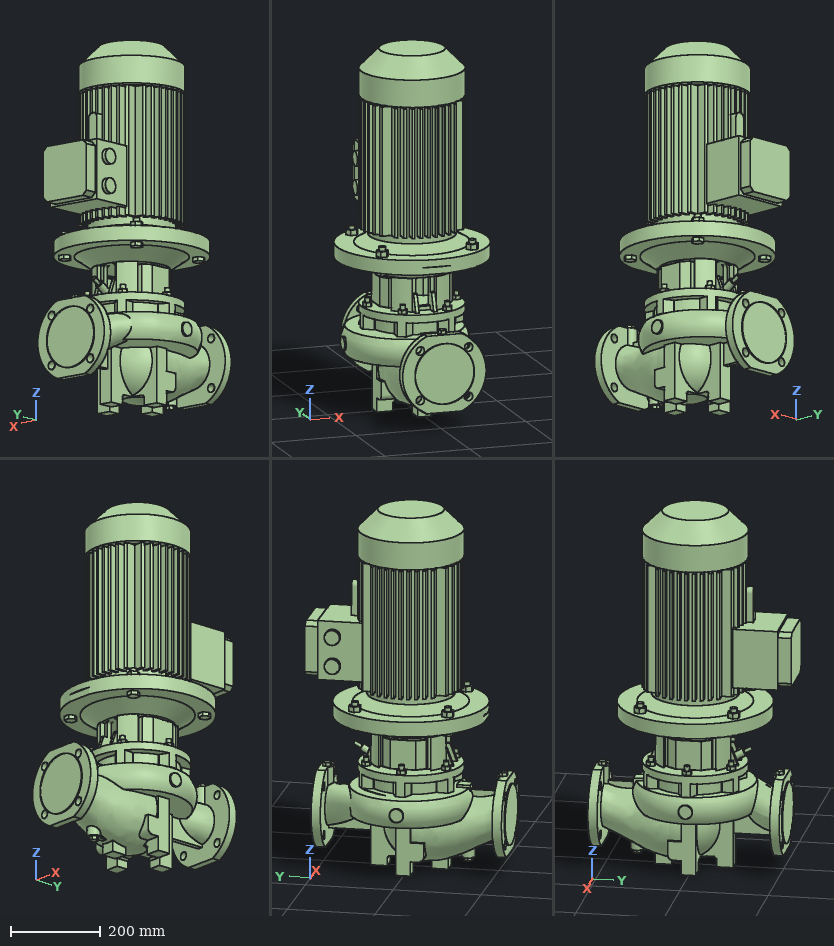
import cadquery as cq
import math

VOLUTE_BOTTOM = 129.0
VOLUTE_TOP = 192.0
LANTERN_FLANGE_BOTTOM = 224.0
LANTERN_FLANGE_TOP = 243.0
DISC_BOTTOM = 349.0
DISC_TOP = 382.5
FIN_BOTTOM = 419.0
FIN_TOP = 716.0
COWL_BOTTOM = 720.0
COWL_SHOULDER = 783.0
TOTAL_HEIGHT = 828.0

FOOT_RADIUS = 130.0
FOOT_TOP = 401.5
BARREL_RADIUS = 98.5
COWL_RADIUS = 119.0
COWL_TOP_RADIUS = 74.5
FIN_PITCH = 17.0
FIN_WIDTH = 6.0
FIN_COUNT = 9

BOX_WIDTH = 138.0
BOX_BOTTOM = 439.0
BOX_TOP = 576.0
BOX_BACK = 199.0
BOX_LID_BACK = 228.95
LID_INSET = 5.0
LID_CHAMFER = 11.0
CABLE_PLUG_RADIUS = 17.0
CABLE_PLUG_LENGTH = 10.0
CABLE_PLUG_Y = 164.0
CABLE_PLUG_HEIGHTS = (474.0, 541.0)
CONDUIT_RADIUS = 12.5
CONDUIT_BACK = 133.0
CONDUIT_TOP = 657.0

BOLT_CIRCLE_RADIUS = 150.0
BOLT_RADIUS = 7.5
BOLT_BOTTOM = 339.5
BOLT_TOP = 404.0
NUT_TOP = 395.0
BOLT_HEX_DIAMETER = 28.0

DISC_RADIUS = 175.1
DISC_FLAT_TOP = 365.0
DISC_FLAT_HALF_WIDTH = 31.5
CONE_TOP_RADIUS = 128.0
CONE_BOTTOM_RADIUS = 86.0
CONE_BOTTOM = 320.0
NECK_RADIUS = 90.0
NECK_STEP_RADIUS = 78.0
NECK_BORE_RADIUS = 66.0
FRONT_WINDOW = 34.0
FRONT_WINDOW_STEP = 56.0
SIDE_WINDOW = 99.0
SIDE_WINDOW_STEP = 117.5
WINDOW_SILL = 252.0
WINDOW_CORNER = 7.0
GUSSET_TOP = 283.0
GUSSET_REACH = 101.0
GUSSET_WIDTH = 8.0
GUARD_FACE_X = 86.0
GUARD_FACE_HALF = 29.0
GUARD_BEND_X = 72.0
GUARD_END_X = 58.0
GUARD_END_HALF = 50.0
GUARD_THICKNESS = 4.0
GUARD_BOTTOM = 247.0
GUARD_TOP = 315.0
LANTERN_FLANGE_RADIUS = 119.0
HUB_RADIUS = 96.0
PAD_COUNT = 6
PAD_TIP_HALF = 10.0
PAD_ROOT_HALF = 21.0
STUD_CIRCLE_RADIUS = 105.0
STUD_RADIUS = 6.0
STUD_TOP = 262.5
STUD_NUT_TOP = 252.0
STUD_HEX_DIAMETER = 21.5

VALVE_TILT = 30.0
VALVE_START_Y = 78.0
VALVE_START_Z = 249.0
VALVE_BODY_RADIUS = 9.0
VALVE_BODY_LENGTH = 40.0
VALVE_STEM_RADIUS = 5.0
VALVE_STEM_LENGTH = 20.0

PIPE_AXIS_Z = 132.0
VOLUTE_RADIUS = 144.0
VOLUTE_OFFSET_X = -17.0
VOLUTE_BULGE = 10.0
SIDE_BOSS_RADIUS = 16.0
SIDE_BOSS_PROUD = 2.5
FLANGE_RADIUS = 98.5
FLANGE_FLAT = 89.5
FLANGE_THICKNESS = 21.5
RAISED_FACE_RADIUS = 69.5
RAISED_FACE_HEIGHT = 2.5
FLANGE_HOLE_RADIUS = 9.5
FLANGE_HOLE_CIRCLE = 80.0
SUCTION_FACE_Y = -228.95
DISCHARGE_FACE_Y = 210.0
DISCHARGE_RADIUS = 48.0
DISCHARGE_BEND_RADIUS = 33.0
DISCHARGE_START_RADIUS = 31.0
DISCHARGE_WEB_BOTTOM = 78.0
PORT_BOSS_RADIUS = 15.3
PLUG_HEX_DIAMETER = 20.0
PLUG_HEIGHT = 8.0
WEB_THICKNESS = 12.5
BOWL_RADIUS = 85.0
BOWL_Y = -25.0
BOWL_Z = 99.0
SUCTION_SECTIONS = ((-207.0, PIPE_AXIS_Z, 53.0), (-149.0, 111.0, 60.0), (-97.0, 103.0, 75.0), (-41.0, 99.0, 83.0))
DRAIN_Y = -131.0
DRAIN_BOTTOM = 28.0
FOOT_REACH = 89.0
FOOT_INNER = 50.5
FOOT_WIDTH = 33.0
FOOT_ARCH_HEIGHT = 24.0
FOOT_ARCH_CORNER = 5.0
FOOT_BLOCK_Y = -47.0
FOOT_BLOCK_BOTTOM = 33.0
FOOT_BLOCK_TOP = 78.0
FOOT_BLOCK_ROUND = 13.0
TOP_WEB_HEIGHT = 186.0
CAST_PAD_HALF = 16.0
CAST_PAD_Y = (-138.0, -108.0)
CAST_PAD_TOP = 198.0


def box(x, y, z):
    """Box from (min, max) pairs along the three axes."""
    size = (x[1] - x[0], y[1] - y[0], z[1] - z[0])
    return cq.Workplane("XY").box(*size, centered=False).translate((x[0], y[0], z[0]))


def cylinder(radius, bottom, top, x=0, y=0):
    """Upright cylinder between two heights."""
    return cq.Workplane("XY", origin=(x, y, bottom)).circle(radius).extrude(top - bottom)


def hexagon(diameter, bottom, top, x=0, y=0):
    """Upright hexagonal prism, sized across its corners."""
    return cq.Workplane("XY", origin=(x, y, bottom)).polygon(6, diameter).extrude(top - bottom)


def y_cylinder(radius, start, end, z=PIPE_AXIS_Z):
    """Cylinder along Y from y = start to y = end."""
    return cq.Workplane("XZ", origin=(0, start, z)).circle(radius).extrude(start - end)


def x_cylinder(radius, start, end, y, z):
    """Cylinder along X from x = start to x = end."""
    return cq.Workplane("YZ", origin=(start, y, z)).circle(radius).extrude(end - start)


def turned(points):
    """Solid of revolution about Z from (radius, height) points."""
    return cq.Workplane("XZ").polyline(points).close().revolve(360, (0, 0, 0), (0, 1, 0))


def make_fins():
    """Two crossing sets of parallel cooling fins, trimmed to a cylinder."""
    fin_set = (
        cq.Workplane("XY", origin=(0, 0, FIN_BOTTOM))
        .rarray(FIN_PITCH, 8, FIN_COUNT, 1)
        .rect(FIN_WIDTH, 2 * COWL_RADIUS)
        .extrude(FIN_TOP - FIN_BOTTOM)
    )
    fins = fin_set.union(fin_set.rotate((0, 0, 0), (0, 0, 1), 90))
    return fins.intersect(cylinder(COWL_RADIUS, FIN_BOTTOM, FIN_TOP))


def make_terminal_box():
    """Terminal box with its lid, two blind cable plugs and the conduit above it."""
    half = BOX_WIDTH / 2
    height = BOX_TOP - BOX_BOTTOM
    middle = (BOX_TOP + BOX_BOTTOM) / 2
    terminal_box = box((-half, half), (0, BOX_BACK), (BOX_BOTTOM, BOX_TOP))
    lid = (
        cq.Workplane("XZ", origin=(0, BOX_BACK, middle))
        .rect(BOX_WIDTH - 2 * LID_INSET, height - 2 * LID_INSET)
        .extrude(BOX_BACK - BOX_LID_BACK)
        .edges("|Y").chamfer(LID_CHAMFER)
    )
    terminal_box = terminal_box.union(lid)
    for z in CABLE_PLUG_HEIGHTS:
        plug = x_cylinder(CABLE_PLUG_RADIUS, -half - CABLE_PLUG_LENGTH, 0, CABLE_PLUG_Y, z)
        terminal_box = terminal_box.union(plug)
    arch_centre = CONDUIT_TOP - CONDUIT_RADIUS
    conduit = box((-CONDUIT_RADIUS, CONDUIT_RADIUS), (0, CONDUIT_BACK), (BOX_TOP, arch_centre))
    conduit = conduit.union(y_cylinder(CONDUIT_RADIUS, 0, CONDUIT_BACK, arch_centre))
    return terminal_box.union(conduit)


def make_motor():
    """Motor with conical foot, finned barrel, fan cowl and terminal box."""
    body = turned([
        (0, DISC_TOP),
        (FOOT_RADIUS, DISC_TOP),
        (BARREL_RADIUS, FOOT_TOP),
        (BARREL_RADIUS, COWL_BOTTOM),
        (COWL_RADIUS, COWL_BOTTOM),
        (COWL_RADIUS, COWL_SHOULDER),
        (COWL_TOP_RADIUS, TOTAL_HEIGHT),
        (0, TOTAL_HEIGHT),
    ])
    return body.union(make_fins()).union(make_terminal_box())


def make_motor_bolt(angle):
    """Through bolt with its head below the disc and its nut above."""
    x = BOLT_CIRCLE_RADIUS * math.cos(math.radians(angle))
    y = BOLT_CIRCLE_RADIUS * math.sin(math.radians(angle))
    bolt = cylinder(BOLT_RADIUS, BOLT_BOTTOM, BOLT_TOP, x, y)
    bolt = bolt.union(hexagon(BOLT_HEX_DIAMETER, BOLT_BOTTOM, DISC_BOTTOM, x, y))
    return bolt.union(hexagon(BOLT_HEX_DIAMETER, DISC_TOP, NUT_TOP, x, y))


def make_vent_valve():
    """Stepped valve that points up and outward from the lantern."""
    valve = cq.Workplane("XY").circle(VALVE_BODY_RADIUS).extrude(VALVE_BODY_LENGTH)
    valve = valve.faces(">Z").workplane().circle(VALVE_STEM_RADIUS).extrude(VALVE_STEM_LENGTH)
    valve = valve.rotate((0, 0, 0), (1, 0, 0), VALVE_TILT - 90)
    return valve.translate((0, VALVE_START_Y, VALVE_START_Z))


def make_neck():
    """Stepped ring opened by windows on all four sides, which leaves four legs."""
    z = (LANTERN_FLANGE_TOP, CONE_BOTTOM)
    through = (-NECK_RADIUS, NECK_RADIUS)
    outer = cylinder(NECK_RADIUS, *z).cut(cylinder(NECK_STEP_RADIUS, *z))
    outer = outer.cut(box((-FRONT_WINDOW_STEP / 2, FRONT_WINDOW_STEP / 2), through, z))
    outer = outer.cut(box(through, (-SIDE_WINDOW_STEP / 2, SIDE_WINDOW_STEP / 2), z))
    inner = cylinder(NECK_STEP_RADIUS, *z).cut(cylinder(NECK_BORE_RADIUS, *z))
    front = box((-FRONT_WINDOW / 2, FRONT_WINDOW / 2), through, (WINDOW_SILL, CONE_BOTTOM))
    inner = inner.cut(front.edges("|Y and >Z").fillet(WINDOW_CORNER))
    inner = inner.cut(box(through, (-SIDE_WINDOW / 2, SIDE_WINDOW / 2), z))
    return outer.union(inner).union(make_window_sills())


def make_window_sills():
    """Low walls that close the bottom of the front and back windows."""
    half = FRONT_WINDOW_STEP / 2
    sills = cq.Workplane("XY")
    for y in ((-NECK_STEP_RADIUS, -NECK_BORE_RADIUS), (NECK_BORE_RADIUS, NECK_STEP_RADIUS)):
        sills = sills.union(box((-half, half), y, (LANTERN_FLANGE_TOP, WINDOW_SILL)))
    return sills


def make_gussets():
    """Triangular gussets beside the front and back windows."""
    triangle = [
        (NECK_BORE_RADIUS, LANTERN_FLANGE_TOP),
        (GUSSET_REACH, LANTERN_FLANGE_TOP),
        (NECK_RADIUS * 0.95, GUSSET_TOP),
        (NECK_BORE_RADIUS, GUSSET_TOP),
    ]
    start = FRONT_WINDOW / 2
    gusset = cq.Workplane("YZ", origin=(start, 0, 0)).polyline(triangle).close().extrude(GUSSET_WIDTH)
    pair = gusset.union(gusset.mirror("YZ"))
    return pair.union(pair.mirror("XZ"))


def make_guards():
    """Bent sheet guards that span the side windows between the legs."""
    bends = [
        (GUARD_END_X, -GUARD_END_HALF),
        (GUARD_BEND_X, -GUARD_END_HALF),
        (GUARD_FACE_X, -GUARD_FACE_HALF),
        (GUARD_FACE_X, GUARD_FACE_HALF),
        (GUARD_BEND_X, GUARD_END_HALF),
        (GUARD_END_X, GUARD_END_HALF),
    ]
    guard = cq.Workplane("XY", origin=(0, 0, GUARD_BOTTOM)).polyline(bends).close()
    guard = guard.extrude(GUARD_TOP - GUARD_BOTTOM).faces("<X or >Z or <Z").shell(-GUARD_THICKNESS)
    return guard.union(guard.mirror("YZ"))


def make_lantern_base():
    """Lantern flange on a hub with tapered pads, and a stud with nut over each pad."""
    base = cylinder(LANTERN_FLANGE_RADIUS, LANTERN_FLANGE_BOTTOM, LANTERN_FLANGE_TOP)
    base = base.union(cylinder(HUB_RADIUS, VOLUTE_TOP, LANTERN_FLANGE_BOTTOM))
    root = HUB_RADIUS - 8
    pad_outline = [
        (root, -PAD_ROOT_HALF),
        (HUB_RADIUS, -PAD_ROOT_HALF),
        (LANTERN_FLANGE_RADIUS, -PAD_TIP_HALF),
        (LANTERN_FLANGE_RADIUS, PAD_TIP_HALF),
        (HUB_RADIUS, PAD_ROOT_HALF),
        (root, PAD_ROOT_HALF),
    ]
    pad = cq.Workplane("XY", origin=(0, 0, VOLUTE_TOP)).polyline(pad_outline).close()
    pad = pad.extrude(LANTERN_FLANGE_BOTTOM - VOLUTE_TOP)
    pad = pad.intersect(cylinder(LANTERN_FLANGE_RADIUS, VOLUTE_TOP, LANTERN_FLANGE_BOTTOM))
    stud = cylinder(STUD_RADIUS, LANTERN_FLANGE_TOP, STUD_TOP, STUD_CIRCLE_RADIUS)
    stud = stud.union(hexagon(STUD_HEX_DIAMETER, LANTERN_FLANGE_TOP, STUD_NUT_TOP, STUD_CIRCLE_RADIUS))
    for i in range(PAD_COUNT):
        angle = i * 360 / PAD_COUNT
        base = base.union(pad.rotate((0, 0, 0), (0, 0, 1), angle))
        base = base.union(stud.rotate((0, 0, 0), (0, 0, 1), angle))
    return base


def make_lantern(bolts, valve):
    """Lantern from the volute top up to the motor disc, with its bolt and valve holes."""
    top = turned([
        (0, CONE_BOTTOM),
        (CONE_BOTTOM_RADIUS, CONE_BOTTOM),
        (CONE_TOP_RADIUS, DISC_BOTTOM),
        (DISC_RADIUS, DISC_BOTTOM),
        (DISC_RADIUS, DISC_TOP),
        (0, DISC_TOP),
    ])
    flat_y = math.sqrt(DISC_RADIUS**2 - DISC_FLAT_HALF_WIDTH**2)
    side = (-DISC_RADIUS, DISC_RADIUS)
    top = top.cut(box(side, (-DISC_RADIUS, -flat_y), (DISC_BOTTOM, DISC_FLAT_TOP)))
    lantern = top.union(make_neck()).union(make_gussets()).union(make_guards())
    lantern = lantern.union(make_lantern_base())
    for bolt in bolts:
        lantern = lantern.cut(bolt)
    return lantern.cut(valve)


def make_volute():
    """Volute with a bulged rim, eccentric to the shaft, and a blind boss on each side."""
    edge = VOLUTE_RADIUS - VOLUTE_BULGE
    middle = (VOLUTE_BOTTOM + VOLUTE_TOP) / 2
    volute = (
        cq.Workplane("YZ")
        .moveTo(0, VOLUTE_BOTTOM)
        .lineTo(edge, VOLUTE_BOTTOM)
        .spline([(VOLUTE_RADIUS, middle), (edge, VOLUTE_TOP)], includeCurrent=True)
        .lineTo(0, VOLUTE_TOP)
        .close()
        .revolve(360, (0, 0, 0), (0, 1, 0))
    )
    reach = VOLUTE_RADIUS + SIDE_BOSS_PROUD
    for end in (-reach, reach):
        volute = volute.union(x_cylinder(SIDE_BOSS_RADIUS, end / 2, end, 0, middle))
    return volute.translate((VOLUTE_OFFSET_X, 0, 0))


def make_pipe_flange(face_y):
    """Pipe flange with raised face, four bolt holes and a plugged gauge boss on top."""
    outward = math.copysign(1, face_y)
    front = face_y - outward * RAISED_FACE_HEIGHT
    back = front - outward * FLANGE_THICKNESS
    flange = y_cylinder(FLANGE_RADIUS, back, front)
    keep = cq.Workplane("XY").box(2 * FLANGE_RADIUS, abs(face_y) * 4, 2 * FLANGE_FLAT)
    flange = flange.intersect(keep.translate((0, 0, PIPE_AXIS_Z)))
    for i in range(4):
        angle = math.radians(45 + 90 * i)
        x = FLANGE_HOLE_CIRCLE * math.cos(angle)
        z = FLANGE_HOLE_CIRCLE * math.sin(angle)
        flange = flange.cut(y_cylinder(FLANGE_HOLE_RADIUS, back, front, PIPE_AXIS_Z + z).translate((x, 0, 0)))
    flange = flange.union(y_cylinder(RAISED_FACE_RADIUS, back, face_y))
    boss_y = back + outward * FLANGE_THICKNESS / 4
    boss_top = PIPE_AXIS_Z + FLANGE_FLAT
    boss = cylinder(PORT_BOSS_RADIUS, PIPE_AXIS_Z, boss_top, 0, boss_y)
    boss = boss.union(hexagon(PLUG_HEX_DIAMETER, boss_top, boss_top + PLUG_HEIGHT, 0, boss_y))
    return flange.union(boss)


def lofted_pipe(sections):
    """Smooth pipe through circles given as (centre, direction, radius)."""
    wires = [
        cq.Wire.makeCircle(radius, cq.Vector(*centre), cq.Vector(*direction))
        for centre, direction, radius in sections
    ]
    return cq.Workplane(cq.Solid.makeLoft(wires))


def make_suction_elbow():
    """Suction pipe that widens into a rounded bowl below the volute, with a drain boss."""
    pipe = lofted_pipe([((0, y, z), (0, 1, 0), radius) for y, z, radius in SUCTION_SECTIONS])
    bowl = cq.Workplane("XY").sphere(BOWL_RADIUS).translate((0, BOWL_Y, BOWL_Z))
    elbow = pipe.union(bowl)
    elbow = elbow.union(cylinder(PORT_BOSS_RADIUS, DRAIN_BOTTOM, BOWL_Z, 0, DRAIN_Y))
    plug_bottom = DRAIN_BOTTOM - PLUG_HEIGHT
    elbow = elbow.union(hexagon(PLUG_HEX_DIAMETER, plug_bottom, DRAIN_BOTTOM, 0, DRAIN_Y))
    half = WEB_THICKNESS / 2
    return elbow.union(box((-half, half), (DRAIN_Y, BOWL_Y), (DRAIN_BOTTOM, BOWL_Z)))


def make_discharge():
    """Discharge pipe that swings from the volute down to the flange axis, with a web below."""
    inner_y = DISCHARGE_FACE_Y - FLANGE_THICKNESS
    middle = (VOLUTE_BOTTOM + VOLUTE_TOP) / 2
    pipe = lofted_pipe([
        ((-112.0, 25.0, middle), (0, 1, 0), DISCHARGE_START_RADIUS),
        ((-64.5, 112.0, middle - 2.0), (0.8, 1, -0.2), DISCHARGE_BEND_RADIUS),
        ((-7.0, inner_y - 21.0, PIPE_AXIS_Z + 5.0), (0.3, 1, -0.2), DISCHARGE_RADIUS - 2.0),
        ((0, inner_y, PIPE_AXIS_Z), (0, 1, 0), DISCHARGE_RADIUS),
    ])
    half = WEB_THICKNESS / 2
    return pipe.union(box((-half, half), (0, inner_y), (DISCHARGE_WEB_BOTTOM, PIPE_AXIS_Z)))


def make_feet():
    """Crossed base plates with a foot at each end and a rounded block beside one plate."""
    half = FOOT_WIDTH / 2
    span = (-FOOT_REACH, FOOT_REACH)
    across = (-half, half)
    arch = box((-FOOT_INNER, FOOT_INNER), across, (0, FOOT_ARCH_HEIGHT))
    arch = arch.edges("|Y and >Z").chamfer(FOOT_ARCH_CORNER)
    plate = box(span, across, (0, VOLUTE_BOTTOM)).cut(arch)
    feet = plate.union(plate.rotate((0, 0, 0), (0, 0, 1), 90))
    block = box(span, (FOOT_BLOCK_Y, 0), (FOOT_BLOCK_BOTTOM, FOOT_BLOCK_TOP))
    block = block.edges("|X and <Y and <Z").fillet(FOOT_BLOCK_ROUND)
    return feet.union(block)


def make_casing():
    """Pump casing with volute, both pipe branches, stiffening webs and feet."""
    casing = make_volute().union(make_feet()).union(make_suction_elbow()).union(make_discharge())
    casing = casing.union(make_pipe_flange(SUCTION_FACE_Y)).union(make_pipe_flange(DISCHARGE_FACE_Y))
    half = WEB_THICKNESS / 2
    web_start = SUCTION_FACE_Y + FLANGE_THICKNESS
    casing = casing.union(box((-half, half), (web_start, 0), (PIPE_AXIS_Z, TOP_WEB_HEIGHT)))
    casing = casing.cut(cylinder(LANTERN_FLANGE_RADIUS, VOLUTE_TOP, LANTERN_FLANGE_TOP))
    cast_pad = box((-CAST_PAD_HALF, CAST_PAD_HALF), CAST_PAD_Y, (VOLUTE_BOTTOM, CAST_PAD_TOP))
    return casing.union(cast_pad)


motor_bolts = [make_motor_bolt(45 + 90 * i) for i in range(4)]
vent_valve = make_vent_valve()
motor = make_motor()
lantern = make_lantern(motor_bolts, vent_valve)
casing = make_casing()

result = cq.Compound.makeCompound([
    motor.solids().val(),
    lantern.solids().val(),
    casing.solids().val(),
    vent_valve.solids().val(),
    *[bolt.solids().val() for bolt in motor_bolts],
])